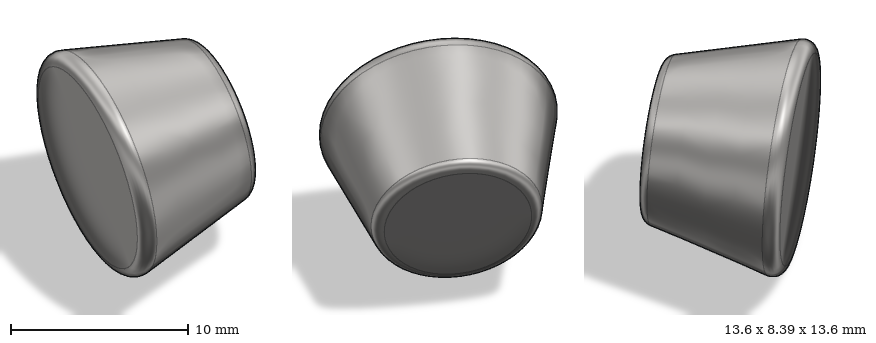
import cadquery as cq
import math

outer_radius = 6.78
length = 8.39
side_angle = 15.0
edge_radius = 0.7

slope = math.radians(side_angle)
edge_center_radius = outer_radius - edge_radius
front_radius = edge_center_radius + edge_radius * (1 + math.sin(slope)) / math.cos(slope)
back_radius = front_radius - length * math.tan(slope)

cone_profile = (
    cq.Workplane("XY")
    .lineTo(front_radius, 0)
    .lineTo(back_radius, length)
    .lineTo(0, length)
    .close()
)
cone = cone_profile.revolve(360, (0, 0, 0), (0, 1, 0))

result = cone.faces("<Y or >Y").edges().fillet(edge_radius)